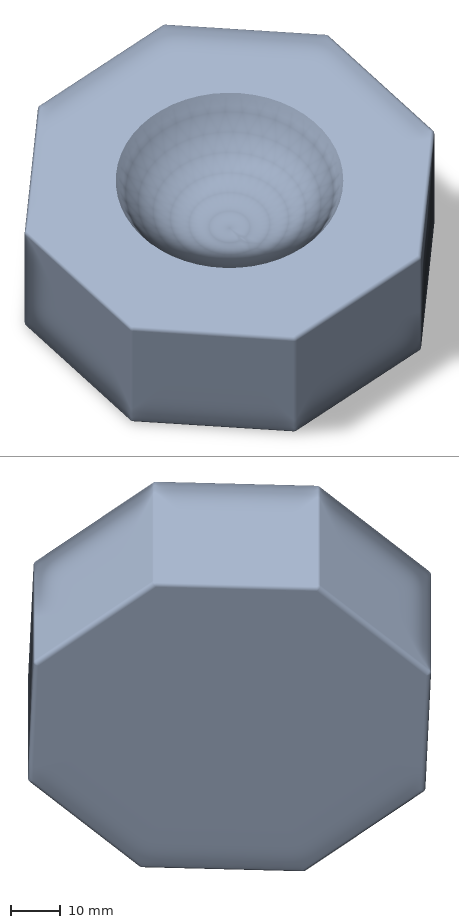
import cadquery as cq
import math

across_flats = 80.0
height = 30.0
edge_radius = 1.0

bowl_sphere_radius = 25.0
bowl_depth = height / 2


def octagonal_block():
    """Octagon with flats facing X and Y, standing on Z = 0, all edges rounded."""
    side_count = 8
    across_corners = across_flats / math.cos(math.pi / side_count)
    half_side_angle = 180 / side_count
    return (
        cq.Workplane("XY")
        .transformed(rotate=(0, 0, half_side_angle))
        .polygon(side_count, across_corners)
        .extrude(height)
        .edges()
        .fillet(edge_radius)
    )


def bowl():
    """Sphere whose lowest point lies bowl_depth below the top face."""
    center_height = height - bowl_depth + bowl_sphere_radius
    return cq.Workplane("XY").sphere(bowl_sphere_radius).translate((0, 0, center_height))


result = octagonal_block().cut(bowl())